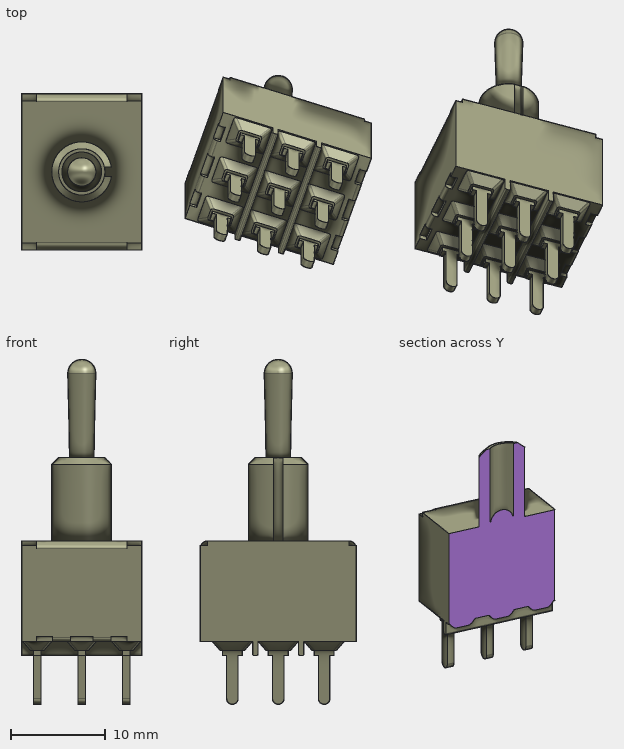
import cadquery as cq
import math

body_bottom = 6.65
body_top = 17.27
bushing_top = 26.1
lever_top = 36.45

body_length_x = 12.7
body_length_y = 16.5
top_edge_radius = 1.65 / 2
corner_step_depth = 0.75
corner_step_floor = 16.75
strip_half_width = 4.77

notch_height = 0.55
notch_depth = 0.75
centre_notch_width = 2.4
tab_width = 1.9
tab_radius = 0.45

bushing_radius = 3.17
bushing_chamfer = 0.73
bore_radius = 4.2 / 2
keyway_width = 1.0
keyway_depth = 0.7
lever_base_radius = 1.25
lever_tip_radius = 1.5

pin_pitch_x = 4.7
pin_pitch_y = 4.85
pin_thickness = 0.8
pin_width = 1.25
shoulder_width = 2.1
shoulder_bottom = 5.15
pad_bottom = 5.7
pad_top_size = (3.05, 4.23)
pad_spread = 0.85
pad_edge_radius = 0.35

rib_thickness = 0.6
rib_bottom = shoulder_bottom
rib_edge_radius = 0.2


def box(size_x, size_y, z_low, z_high):
    """Upright box centred on the Z axis between two heights."""
    return cq.Workplane("XY", origin=(0, 0, z_low)).rect(size_x, size_y).extrude(z_high - z_low)


def make_housing():
    """Block with stepped top corners and Y edges rounded only along their central stretch."""
    stepped = box(body_length_x, body_length_y, body_bottom, body_top)
    step_length = body_length_x / 2 - strip_half_width
    step_x = (body_length_x - step_length) / 2
    step_y = (body_length_y - corner_step_depth) / 2
    corner = box(step_length, corner_step_depth, corner_step_floor, body_top)
    for side_x in (-1, 1):
        for side_y in (-1, 1):
            stepped = stepped.cut(corner.translate((side_x * step_x, side_y * step_y, 0)))

    central_slab = box(2 * strip_half_width, body_length_y, body_bottom, body_top)
    rounded_slab = central_slab.faces(">Z").edges("|X").fillet(top_edge_radius)
    return stepped.cut(central_slab).union(rounded_slab)


def cut_bottom_notches(housing):
    """Recess the bottom of both Y walls, leaving two tabs with a rounded lower edge in each recess."""
    recess = box(2 * strip_half_width, notch_depth, body_bottom, body_bottom + notch_height)
    tab = box(tab_width, notch_depth, body_bottom, body_bottom + notch_height)
    tab = tab.edges("<Y and <Z").fillet(tab_radius)
    tab_x = (centre_notch_width + tab_width) / 2
    for side in (-1, 1):
        recess = recess.cut(tab.translate((side * tab_x, 0, 0)))

    recess = recess.translate((0, (notch_depth - body_length_y) / 2, 0))
    return housing.cut(recess).cut(recess.mirror("XZ"))


def make_bushing_and_lever():
    """Chamfered bushing whose bore holds a hemispherical pivot carrying the flared lever."""
    bushing = cq.Workplane("XY", origin=(0, 0, body_top)).circle(bushing_radius)
    bushing = bushing.extrude(bushing_top - body_top).faces(">Z").chamfer(bushing_chamfer)
    bore = cq.Workplane("XY", origin=(0, 0, body_top)).circle(bore_radius).extrude(bushing_top - body_top)
    keyway_floor = bushing_radius - keyway_depth
    keyway = box(bushing_radius, keyway_width, body_top, bushing_top)
    keyway = keyway.translate((keyway_floor + bushing_radius / 2, 0, 0))
    bushing = bushing.cut(bore).cut(keyway)

    pivot = cq.Workplane("XY", origin=(0, 0, body_top)).sphere(bore_radius)
    pivot = pivot.intersect(box(body_length_x, body_length_y, body_top, bushing_top))
    dome_start = lever_top - lever_tip_radius
    dome_mid = lever_tip_radius * 0.5 ** 0.5
    flare_mid_radius = lever_base_radius + (lever_tip_radius - lever_base_radius) / 4
    flare_mid_height = (body_top + dome_start) / 2
    lever = (
        cq.Workplane("XZ")
        .moveTo(0, body_top)
        .lineTo(lever_base_radius, body_top)
        .threePointArc((flare_mid_radius, flare_mid_height), (lever_tip_radius, dome_start))
        .threePointArc((dome_mid, dome_start + dome_mid), (0, lever_top))
        .close()
        .revolve(360, (0, 0, 0), (0, 1, 0))
    )
    return bushing.union(pivot).union(lever)


def make_pin():
    """Flat pin with a half-round tip, a wider shoulder and a tapered pad against the housing."""
    tip_radius = pin_width / 2
    blade = (
        cq.Workplane("YZ")
        .moveTo(-tip_radius, body_bottom)
        .lineTo(-tip_radius, tip_radius)
        .threePointArc((0, 0), (tip_radius, tip_radius))
        .lineTo(tip_radius, body_bottom)
        .close()
        .extrude(pin_thickness / 2, both=True)
    )
    shoulder = box(pin_thickness, shoulder_width, shoulder_bottom, body_bottom)
    pad_height = body_bottom - pad_bottom
    pad_taper = math.degrees(math.atan2(pad_spread, pad_height))
    pad = cq.Workplane("XY", origin=(0, 0, body_bottom)).rect(*pad_top_size)
    pad = pad.extrude(-pad_height, taper=pad_taper)
    pad = pad.edges("not #Z").fillet(pad_edge_radius)
    return pad.union(shoulder).union(blade)


def make_rib():
    """Full-width rib with a rounded lower edge."""
    rib = box(body_length_x, rib_thickness, rib_bottom, body_bottom)
    return rib.faces("<Z").edges("|X").fillet(rib_edge_radius)


result = cut_bottom_notches(make_housing()).union(make_bushing_and_lever())

pin = make_pin()
for column in (-1, 0, 1):
    for row in (-1, 0, 1):
        result = result.union(pin.translate((column * pin_pitch_x, row * pin_pitch_y, 0)))

rib = make_rib()
for side in (-1, 1):
    result = result.union(rib.translate((0, side * pin_pitch_y / 2, 0)))